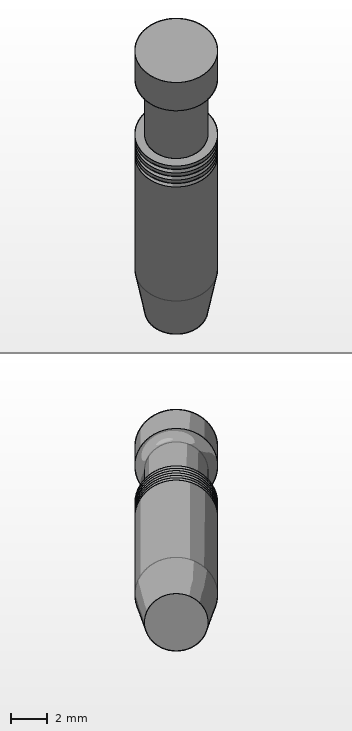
import cadquery as cq
import math

length = 22.3
body_radius = 4.5 / 2
neck_radius = 3.45 / 2

taper_height = 3.5
head_height = 2.43
shoulder_depth = 7.18
neck_fillet_radius = 0.6

groove_count = 3
groove_pitch = 0.6
groove_width = groove_pitch / 2
groove_depth = groove_width / 2
land_width = groove_pitch - groove_width

shoulder_z = length - shoulder_depth
head_base_z = length - head_height


def make_blank():
    """Revolve the tapered tip, body, neck and head without the grooves."""
    fillet_center_x = neck_radius + neck_fillet_radius
    rim_offset = fillet_center_x - body_radius
    fillet_height = math.sqrt(neck_fillet_radius**2 - rim_offset**2)
    fillet_base_z = head_base_z - fillet_height
    mid_angle = math.pi - math.atan2(fillet_height, rim_offset) / 2
    fillet_mid = (
        fillet_center_x + neck_fillet_radius * math.cos(mid_angle),
        fillet_base_z + neck_fillet_radius * math.sin(mid_angle),
    )
    return (
        cq.Workplane("XZ")
        .lineTo(neck_radius, 0)
        .lineTo(body_radius, taper_height)
        .lineTo(body_radius, shoulder_z)
        .lineTo(neck_radius, shoulder_z)
        .lineTo(neck_radius, fillet_base_z)
        .threePointArc(fillet_mid, (body_radius, head_base_z))
        .lineTo(body_radius, length)
        .lineTo(0, length)
        .close()
        .revolve(360, (0, 0), (0, 1))
    )


def make_groove(top_z):
    """Make the triangular ring that cuts one groove, starting at top_z."""
    return (
        cq.Workplane("XZ")
        .moveTo(body_radius, top_z)
        .lineTo(body_radius - groove_depth, top_z - groove_width / 2)
        .lineTo(body_radius, top_z - groove_width)
        .close()
        .revolve(360, (0, 0), (0, 1))
    )


result = make_blank()
for index in range(groove_count):
    groove_top_z = shoulder_z - land_width - index * groove_pitch
    result = result.cut(make_groove(groove_top_z))